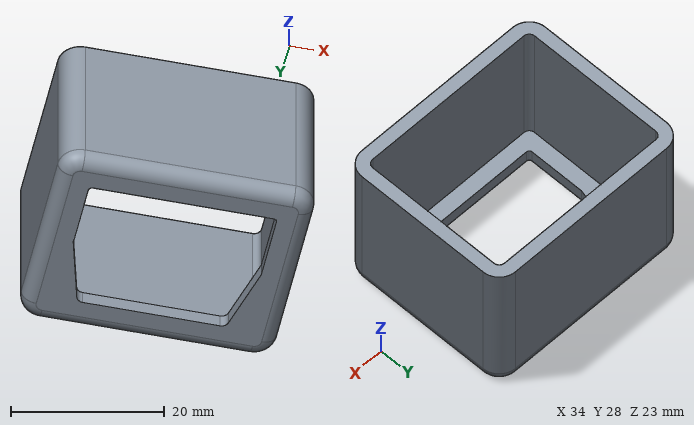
import cadquery as cq

length = 34.0
width = 28.0
height = 23.0
corner_radius = 3.0
bottom_fillet = 2.0

wall = 2.0
floor_thickness = 2.0
cavity_corner_radius = corner_radius - wall

window_width = 25.02
window_back_width = 19.8
window_depth = 19.1
window_front_radius = 0.5
window_back_radius = 1.0


def rounded_block(size_x, size_y, size_z, radius):
    """Block standing on Z = 0 with rounded vertical edges."""
    block = cq.Workplane("XY").box(size_x, size_y, size_z, centered=(True, True, False))
    return block.edges("|Z").fillet(radius)


def make_body():
    body = rounded_block(length, width, height, corner_radius)
    return body.faces("<Z").edges().fillet(bottom_fillet)


def make_cavity():
    cavity = rounded_block(length - 2 * wall, width - 2 * wall, height, cavity_corner_radius)
    return cavity.translate((0, 0, floor_thickness))


def make_window():
    half_width = window_width / 2
    half_back = window_back_width / 2
    half_depth = window_depth / 2
    outline = [
        (-half_width, -half_depth),
        (half_width, -half_depth),
        (half_width, 0),
        (half_back, half_depth),
        (-half_back, half_depth),
        (-half_width, 0),
    ]
    window = cq.Workplane("XY").polyline(outline).close().extrude(height)
    window = window.faces("<Y").edges("|Z").fillet(window_front_radius)
    return window.faces(">Y").edges("|Z").fillet(window_back_radius)


result = make_body().cut(make_cavity()).cut(make_window())